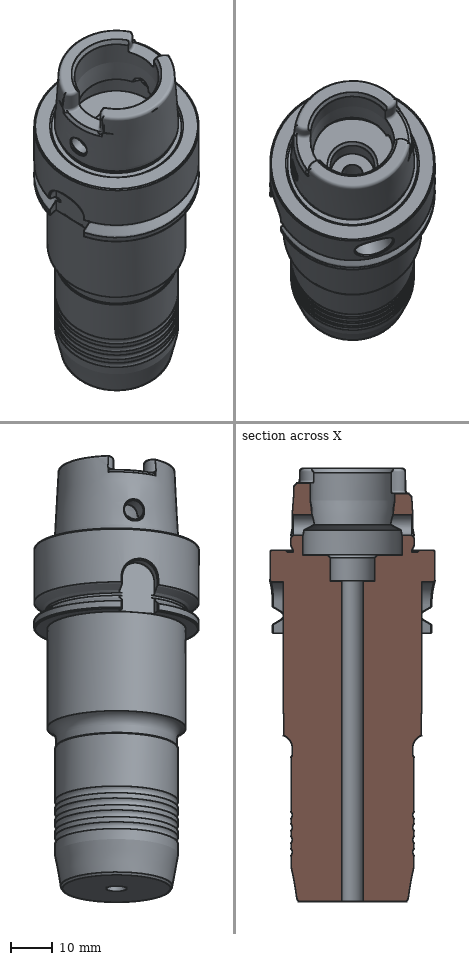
import cadquery as cq
import math

TOTAL_HEIGHT = 104.9
FLANGE_RADIUS = 19.98
FLANGE_BOTTOM = 64.9
FLANGE_HEIGHT = 20.1
FLANGE_TOP = FLANGE_BOTTOM + FLANGE_HEIGHT
FLANGE_CHAMFER = 0.3

SHANK_BASE_RADIUS = 15.0
SHANK_TOP_RADIUS = 14.1
SHANK_TAPER_START = 87.2
SHANK_RELIEF_START = 86.1
SHANK_ROOT_RADIUS = 14.5
RIM_FILLET = 0.8
FACE_RECESS_RADIUS = 16.2
FACE_RECESS_DEPTH = 0.4

GRIPPER_TOP = 71.2
GRIPPER_BOTTOM = 67.1
GRIPPER_FLOOR_RADIUS = 17.2
GRIPPER_FLOOR_HEIGHT = 0.6
GRIPPER_BLEND_WIDTH = 0.6
GRIPPER_BLEND_HEIGHT = 0.6

BODY_RADIUS = 16.8
NOSE_RADIUS = 14.95
NECK_RADIUS = 14.7
NECK_FILLET = 3.0
NECK_FILLET_END = 37.2
NECK_BOTTOM = 35.2
NOSE_TAPER_TOP = 8.5
NOSE_TIP_RADIUS = 13.5
NOSE_CHAMFER_WIDTH = 0.4
NOSE_CHAMFER_HEIGHT = 0.6

RING_COUNT = 4
RING_PITCH = 2.99
RING_LOWEST = 12.0
RING_WIDTH = 1.7
RING_DEPTH = 0.26

MOUTH_RADIUS = 10.9
MOUTH_DEPTH = 1.0
BORE_RADIUS = 10.2
BORE_STRAIGHT_END = 97.0
LIP_RADIUS = 9.5
BORE_TAPER_END = 91.3
UNDERCUT_RADIUS = 12.0
UNDERCUT_ANGLE = 30.0
BORE_FLOOR = 83.9
WELL_RADIUS = 5.3
WELL_CHAMFER = 0.7
WELL_DEPTH = 6.3
COOLANT_RADIUS = 2.5

KEY_HALF_WIDTH = 4.0
KEY_CORNER_RADIUS = 2.7
KEY_LAND_Y = 12.9
KEY_INNER_Y = 6.3
KEY_FLOOR_FILLET = 0.7
FRONT_KEY_FLOOR = 98.8
BACK_KEY_FLOOR = 101.3
KEY_FLOOR_CHAMFER = 0.7
FACET_BOTTOM = 99.4
FACET_TANGENT_Z = 102.3
FACET_ANGLE = 27.0
FACET_REACH = 3.1

CROSS_HOLE_RADIUS = 2.4
CROSS_HOLE_MOUTH_RADIUS = 2.8
COUNTERSINK_ANGLE = 44.0
CROSS_HOLE_Z = 91.2
SIDE_POCKET_RADIUS = 4.7
SIDE_POCKET_Z = 77.9
SIDE_POCKET_FLOOR_X = 14.9
SLOT_FLOOR_Y = BODY_RADIUS
SLOT_TOP = 77.3
FRONT_SLOT_WIDTH = 10.5
BACK_SLOT_WIDTH = 8.8
OPENING_CHAMFER = 0.3
TOLERANCE = 0.001
CUT_MARGIN = 1.0


def make_body():
    """Solid of revolution: nose, neck, body, grooved flange and tapered shank."""
    fillet_centre = NECK_RADIUS + NECK_FILLET
    shoulder_z = NECK_FILLET_END + math.sqrt(NECK_FILLET**2 - (fillet_centre - BODY_RADIUS) ** 2)
    fillet_mid = NECK_FILLET * math.sqrt(0.5)
    floor_half = GRIPPER_FLOOR_HEIGHT / 2
    groove_z = (GRIPPER_TOP + GRIPPER_BOTTOM) / 2
    blend_radius = GRIPPER_FLOOR_RADIUS + GRIPPER_BLEND_WIDTH
    blend_half = floor_half + GRIPPER_BLEND_HEIGHT
    flange_flat = FLANGE_RADIUS - FLANGE_CHAMFER
    recess_z = FLANGE_TOP - FACE_RECESS_DEPTH

    profile = cq.Workplane("XZ").moveTo(0, 0)
    profile = profile.lineTo(NOSE_TIP_RADIUS - NOSE_CHAMFER_WIDTH, 0)
    profile = profile.lineTo(NOSE_TIP_RADIUS, NOSE_CHAMFER_HEIGHT)
    profile = profile.lineTo(NOSE_RADIUS, NOSE_TAPER_TOP)
    for i in range(RING_COUNT):
        ring_z = RING_LOWEST + i * RING_PITCH
        profile = add_ring_groove(profile, ring_z)
    profile = profile.lineTo(NOSE_RADIUS, NECK_BOTTOM - (NOSE_RADIUS - NECK_RADIUS))
    profile = profile.lineTo(NECK_RADIUS, NECK_BOTTOM)
    profile = profile.lineTo(NECK_RADIUS, NECK_FILLET_END)
    profile = profile.threePointArc(
        (fillet_centre - fillet_mid, NECK_FILLET_END + fillet_mid), (BODY_RADIUS, shoulder_z)
    )
    profile = profile.lineTo(BODY_RADIUS, FLANGE_BOTTOM)
    profile = profile.lineTo(flange_flat, FLANGE_BOTTOM)
    profile = profile.lineTo(FLANGE_RADIUS, FLANGE_BOTTOM + FLANGE_CHAMFER)
    profile = profile.lineTo(FLANGE_RADIUS, GRIPPER_BOTTOM - FLANGE_CHAMFER)
    profile = profile.lineTo(flange_flat, GRIPPER_BOTTOM)
    profile = profile.lineTo(blend_radius, groove_z - blend_half)
    profile = profile.lineTo(GRIPPER_FLOOR_RADIUS, groove_z - floor_half)
    profile = profile.lineTo(GRIPPER_FLOOR_RADIUS, groove_z + floor_half)
    profile = profile.lineTo(blend_radius, groove_z + blend_half)
    profile = profile.lineTo(flange_flat, GRIPPER_TOP)
    profile = profile.lineTo(FLANGE_RADIUS, GRIPPER_TOP + FLANGE_CHAMFER)
    profile = profile.lineTo(FLANGE_RADIUS, FLANGE_TOP - FLANGE_CHAMFER)
    profile = profile.lineTo(flange_flat, FLANGE_TOP)
    profile = profile.lineTo(FACE_RECESS_RADIUS, FLANGE_TOP)
    profile = profile.lineTo(FACE_RECESS_RADIUS - FACE_RECESS_DEPTH, recess_z)
    profile = profile.lineTo(SHANK_ROOT_RADIUS, recess_z)
    profile = profile.lineTo(SHANK_ROOT_RADIUS, FLANGE_TOP)
    profile = profile.lineTo(SHANK_BASE_RADIUS, SHANK_RELIEF_START)
    profile = profile.lineTo(SHANK_BASE_RADIUS, SHANK_TAPER_START)
    profile = profile.lineTo(SHANK_TOP_RADIUS, TOTAL_HEIGHT)
    profile = profile.lineTo(0, TOTAL_HEIGHT).close()
    return profile.revolve(360, (0, 0, 0), (0, 1, 0))


def add_ring_groove(profile, ring_z):
    """Extend the nose outline upward through one round-bottomed groove."""
    half = RING_WIDTH / 2
    profile = profile.lineTo(NOSE_RADIUS, ring_z - half)
    return profile.threePointArc((NOSE_RADIUS - RING_DEPTH, ring_z), (NOSE_RADIUS, ring_z + half))


def make_bore():
    """Stepped bore along the axis, with the coolant hole running right through."""
    undercut_slope = math.tan(math.radians(UNDERCUT_ANGLE))
    undercut_top = BORE_TAPER_END - (UNDERCUT_RADIUS - LIP_RADIUS) * undercut_slope
    well_floor = BORE_FLOOR - WELL_DEPTH
    outline = [
        (0, 0),
        (COOLANT_RADIUS, 0),
        (COOLANT_RADIUS, well_floor),
        (WELL_RADIUS, well_floor),
        (WELL_RADIUS, BORE_FLOOR - WELL_CHAMFER),
        (WELL_RADIUS + WELL_CHAMFER, BORE_FLOOR),
        (UNDERCUT_RADIUS, BORE_FLOOR),
        (UNDERCUT_RADIUS, undercut_top),
        (LIP_RADIUS, BORE_TAPER_END),
        (BORE_RADIUS, BORE_STRAIGHT_END),
        (BORE_RADIUS, TOTAL_HEIGHT - MOUTH_DEPTH),
        (MOUTH_RADIUS, TOTAL_HEIGHT),
        (0, TOTAL_HEIGHT),
    ]
    return cq.Workplane("XZ").polyline(outline).close().revolve(360, (0, 0, 0), (0, 1, 0))


def shank_radius(z):
    """Radius of the tapered shank at a height."""
    taper = (SHANK_BASE_RADIUS - SHANK_TOP_RADIUS) / (TOTAL_HEIGHT - SHANK_TAPER_START)
    return SHANK_TOP_RADIUS + taper * (TOTAL_HEIGHT - z)


def make_keyway(floor_z):
    """Cutter for a keyway on the -Y side, flaring outward, with a rounded floor and a chamfered sill."""
    radius = KEY_CORNER_RADIUS
    flare_x = KEY_HALF_WIDTH + radius
    flare_y = radius - KEY_LAND_Y
    mid = radius * math.sqrt(0.5)
    outline = cq.Workplane("XY").workplane(offset=floor_z)
    outline = outline.moveTo(-KEY_HALF_WIDTH, -KEY_INNER_Y).lineTo(-KEY_HALF_WIDTH, flare_y)
    outline = outline.threePointArc((-flare_x + mid, flare_y - mid), (-flare_x, -KEY_LAND_Y))
    outline = outline.lineTo(-flare_x, -FLANGE_RADIUS).lineTo(flare_x, -FLANGE_RADIUS)
    outline = outline.lineTo(flare_x, -KEY_LAND_Y)
    outline = outline.threePointArc((flare_x - mid, flare_y - mid), (KEY_HALF_WIDTH, flare_y))
    outline = outline.lineTo(KEY_HALF_WIDTH, -KEY_INNER_Y).close()
    cutter = outline.extrude(TOTAL_HEIGHT - floor_z)
    cutter = cutter.faces("<Z").edges().fillet(KEY_FLOOR_FILLET)

    sill_radius = shank_radius(floor_z) - KEY_FLOOR_CHAMFER
    drop = FLANGE_RADIUS - sill_radius
    sill = cq.Workplane("XZ").moveTo(sill_radius, floor_z).lineTo(FLANGE_RADIUS, floor_z)
    sill = sill.lineTo(FLANGE_RADIUS, floor_z - drop).close().revolve(360, (0, 0, 0), (0, 1, 0))
    sill_width = 2 * (flare_x - KEY_FLOOR_FILLET)
    limit = cq.Workplane("XY").box(sill_width, FLANGE_RADIUS, 2 * drop).translate(
        (0, -FLANGE_RADIUS / 2, floor_z)
    )
    return cutter.union(sill.intersect(limit))


def make_front_facets():
    """Flats on the shank just outside the flare of the front keyway.

    Each flat is upright and touches the taper at FACET_TANGENT_Z, so it widens downward from there."""
    distance = shank_radius(FACET_TANGENT_Z)
    height = TOTAL_HEIGHT - FACET_BOTTOM
    flat = cq.Workplane("XY").box(FACET_REACH, FACET_REACH, height, centered=(False, False, False))
    flat = flat.translate((0, -distance - FACET_REACH, FACET_BOTTOM))
    right = flat.rotate((0, 0, 0), (0, 0, 1), FACET_ANGLE)
    return right.union(right.mirror("YZ"))


def make_slot(width):
    """Cutter for a round-topped slot on the -Y side, open at the lower flange face."""
    half = width / 2
    slot = cq.Workplane("XZ", origin=(0, -SLOT_FLOOR_Y, 0)).moveTo(-half, FLANGE_BOTTOM)
    slot = slot.lineTo(-half, SLOT_TOP - half).threePointArc((0, SLOT_TOP), (half, SLOT_TOP - half))
    slot = slot.lineTo(half, FLANGE_BOTTOM).close()
    return slot.extrude(FLANGE_RADIUS - SLOT_FLOOR_Y + CUT_MARGIN)


def on_back(cutter):
    """Turn a cutter made for the -Y side round to the +Y side."""
    return cutter.rotate((0, 0, 0), (0, 0, 1), 180)


def make_cross_hole():
    """Hole along Y through both walls of the shank, countersunk at each end."""
    hole = cq.Workplane("XZ").center(0, CROSS_HOLE_Z).circle(CROSS_HOLE_RADIUS)
    hole = hole.extrude(FLANGE_RADIUS, both=True)
    mouth_y = shank_radius(CROSS_HOLE_Z)
    sink = cq.Workplane("XZ", origin=(0, -mouth_y, CROSS_HOLE_Z)).circle(CROSS_HOLE_MOUTH_RADIUS)
    sink = sink.extrude(-CROSS_HOLE_MOUTH_RADIUS, taper=COUNTERSINK_ANGLE)
    return hole.union(sink).union(on_back(sink))


def make_side_pocket():
    """Flat-bottomed round pocket in the -X side of the flange."""
    pocket = cq.Workplane("YZ", origin=(-FLANGE_RADIUS, 0, 0)).center(0, SIDE_POCKET_Z)
    return pocket.circle(SIDE_POCKET_RADIUS).extrude(FLANGE_RADIUS - SIDE_POCKET_FLOOR_X)


def chamfer_openings(part):
    """Chamfer the outlines of the pocket and the slots where they break the flange's outer cylinder.

    Level circles are flange edges and the upright line on +X is its seam, so both are left alone."""
    outlines = []
    for edge in part.edges().vals():
        middle = edge.positionAt(0.5)
        on_cylinder = abs(math.hypot(middle.x, middle.y) - FLANGE_RADIUS) < TOLERANCE
        is_seam = middle.x > FRONT_SLOT_WIDTH
        if on_cylinder and edge.geomType() != "CIRCLE" and not is_seam:
            outlines.append(edge)
    return part.newObject(outlines).chamfer(OPENING_CHAMFER)


result = make_body()
result = result.cut(make_keyway(FRONT_KEY_FLOOR)).cut(on_back(make_keyway(BACK_KEY_FLOOR)))
result = result.faces(">Z").edges().fillet(RIM_FILLET)
result = result.cut(make_front_facets())
result = result.cut(make_bore())
result = result.cut(make_cross_hole())
result = result.cut(make_side_pocket())
result = result.cut(make_slot(FRONT_SLOT_WIDTH)).cut(on_back(make_slot(BACK_SLOT_WIDTH)))
result = chamfer_openings(result)